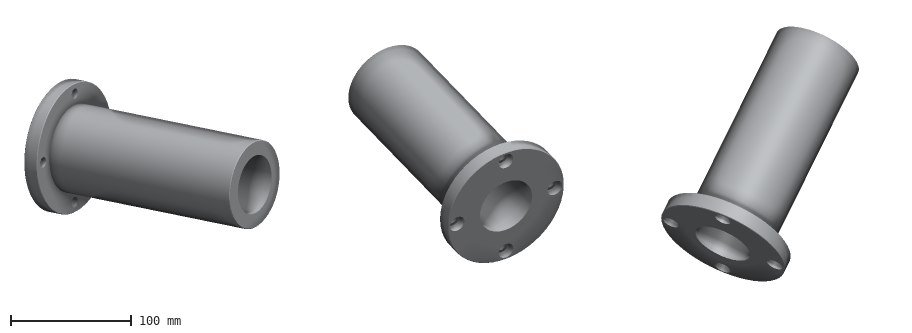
import cadquery as cq

total_length = 192.0
flange_diameter = 112.0
flange_thickness = 13.0
barrel_diameter = 75.0
bore_diameter = 50.0
edge_chamfer = 0.5

hole_count = 4
bolt_circle_diameter = 94.0
hole_diameter = 9.0
counterbore_diameter = 14.0
counterbore_depth = 8.0


def cylinder_along_x(diameter, length):
    """Solid cylinder from the flange face (X = 0) toward +X."""
    return cq.Workplane("YZ").circle(diameter / 2).extrude(length)


def make_body():
    """Flanged tube with chamfered outer rims and a plain through bore."""
    flange = cylinder_along_x(flange_diameter, flange_thickness)
    flange = flange.faces("<X or >X").chamfer(edge_chamfer)
    barrel = cylinder_along_x(barrel_diameter, total_length)
    barrel = barrel.faces(">X").chamfer(edge_chamfer)
    bore = cylinder_along_x(bore_diameter, total_length)
    return flange.union(barrel).cut(bore)


def make_mounting_holes():
    """Counterbored holes through the flange, sunk from its outer face."""
    circle_points = cq.Workplane("YZ").polarArray(bolt_circle_diameter / 2, 0, 360, hole_count)
    clearance = circle_points.circle(hole_diameter / 2).extrude(flange_thickness)
    counterbores = circle_points.circle(counterbore_diameter / 2).extrude(counterbore_depth)
    return clearance.union(counterbores)


result = make_body().cut(make_mounting_holes())